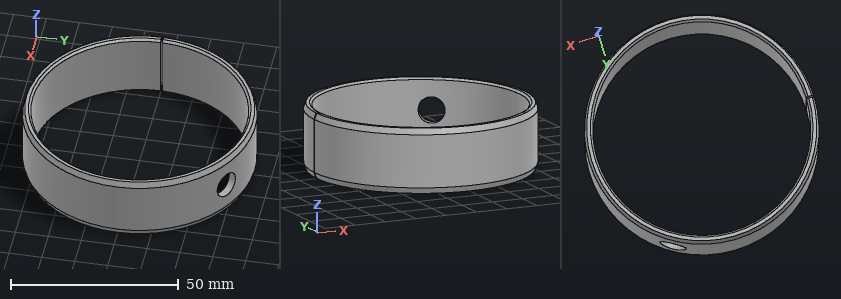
import cadquery as cq

outer_diameter = 70.0
wall = 2.5
height = 20.0
outer_radius = outer_diameter / 2
inner_radius = outer_radius - wall

outer_bevel_radial = 0.7
outer_bevel_axial = 1.9
inner_bevel = 0.7

split_width = 0.5

hole_diameter = 8.0
hole_angle = 59.0


def ring_body():
    """Revolve the wall section, bevelled at both rims, about Z."""
    half_height = height / 2
    outer_shoulder = half_height - outer_bevel_axial
    inner_shoulder = half_height - inner_bevel
    rim_outer = outer_radius - outer_bevel_radial
    rim_inner = inner_radius + inner_bevel
    section = [
        (inner_radius, -inner_shoulder),
        (rim_inner, -half_height),
        (rim_outer, -half_height),
        (outer_radius, -outer_shoulder),
        (outer_radius, outer_shoulder),
        (rim_outer, half_height),
        (rim_inner, half_height),
        (inner_radius, inner_shoulder),
    ]
    return cq.Workplane("XZ").polyline(section).close().revolve(360, (0, 0), (0, 1))


def split_cutter():
    """Thin slab reaching from the axis out past the -X side of the ring."""
    slab = cq.Workplane("XY").box(outer_diameter, split_width, 2 * height)
    return slab.translate((-outer_radius, split_width / 2, 0))


def hole_cutter():
    """Cylinder running outwards from the axis at the hole angle."""
    cylinder = cq.Workplane("YZ").circle(hole_diameter / 2).extrude(outer_diameter)
    return cylinder.rotate((0, 0, 0), (0, 0, 1), hole_angle)


result = ring_body().cut(split_cutter()).cut(hole_cutter())